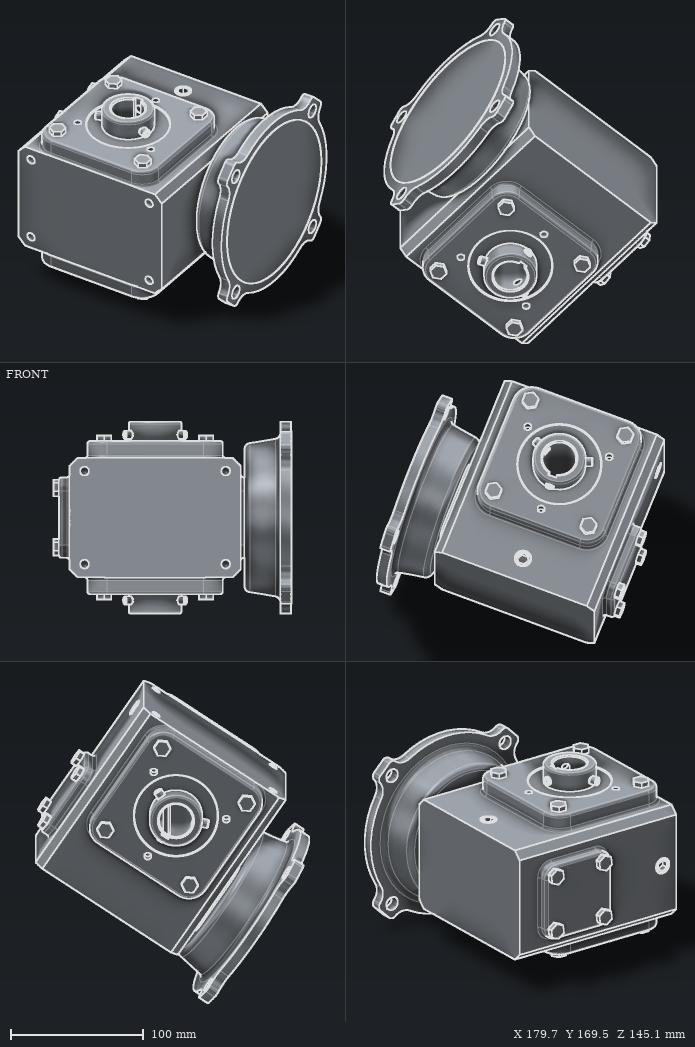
import cadquery as cq
import math


HOUSING_X = 129.3
HOUSING_Z = 90.2
HOUSING_FRONT = -52.5
HOUSING_BACK = 93.5
HOUSING_CHAMFER = 6.1
SIDE_X = HOUSING_X / 2
TOP_Z = HOUSING_Z / 2
INPUT_Y = 44.4

COVER_SIZE = 102.2
COVER_HEIGHT = 12.8
COVER_CORNER = 14.7
COVER_EDGE_FILLET = 2.0
COVER_TOP_Z = TOP_Z + COVER_HEIGHT
COVER_BOLT_PITCH = 76.9
COVER_HOLE_RADIUS = 38.0
COVER_HOLE_DIAMETER = 5.4
COVER_HOLE_DEPTH = 9.0
COVER_HOLE_ANGLES = (90, 210, 330)
SEAL_RADIUS = 32.0
SEAL_RECESS = 0.7
SEAL_TAPER = 40

SIDE_COVER_SIZE = 60.9
SIDE_COVER_HEIGHT = 7.9
SIDE_COVER_CORNER = 10.0
SIDE_COVER_EDGE_FILLET = 2.0
SIDE_BOLT_PITCH = 44.7
SIDE_BOLT_TURN = 7
BASE_FILLET = 2.2

BOLT_FLATS = 11.0
BOLT_HEAD_HEIGHT = 4.1

HUB_RADIUS = 20.0
HUB_LENGTH = 145.0
HUB_END_Z = HUB_LENGTH / 2
HUB_FILLET = 1.6
BORE_RADIUS = 12.8
BORE_CHAMFER = 1.0
KEYWAY_WIDTH = 6.3
KEYWAY_TOP = 15.3

SCREW_PLACES = ((90, 22.0), (-22, 25.1), (202, 25.1))
SCREW_RADIUS = 3.2
SCREW_LENGTH = 6.3
SCREW_CHAMFER = 0.7
SCREW_SOCKET_FLATS = 3.2
SCREW_SOCKET_DEPTH = 2.7
SCREW_Z = 62.5

FOOT_PITCH_X = 106.5
FOOT_PITCH_Z = 70.2
FOOT_DIAMETER = 6.6
FOOT_DEPTH = 12.5
DRILL_TIP_ANGLE = 118

PLUG_RADIUS = 6.3
PLUG_GROOVE = 0.7
PLUG_SOCKET_FLATS = 7.9
PLUG_SOCKET_DEPTH = 5.4
TOP_PLUG_Y = 75.8
SIDE_PLUG_Y = -39.7

BELL_X = 67.4
FLANGE_X = 94.5
FLANGE_REAR_X = 102.5
RIM_X = 103.0
BELL_FACE_RADIUS = 55.7
BELL_REAR_RADIUS = 60.2
NOSE_FILLET = 4.7
THROAT_FILLET = 4.7
RIM_RADIUS = 65.0
FLANGE_DIAMETER = 145.1
FLANGE_RADIUS = FLANGE_DIAMETER / 2

EAR_REACH = 84.2
EAR_WIDTH = 20.1
EAR_CORNER = 4.3
EAR_BLEND = 11.9
EAR_HOLE_RADIUS = 74.5
EAR_HOLE_DIAMETER = 10.6
EAR_ANGLES = (45, 135, 225, 315)


def square(pitch):
    """Corner points of a centred square."""
    half = pitch / 2
    return [(-half, -half), (-half, half), (half, -half), (half, half)]


def hexagon(flats, height, turn=90):
    """Hexagonal prism along Z; a corner points along X, then turns about Z by the given degrees."""
    diameter = flats / math.cos(math.pi / 6)
    prism = cq.Workplane("XY").polygon(6, diameter).extrude(height)
    return prism.rotate((0, 0, 0), (0, 0, 1), turn)


def drilled_hole(diameter, depth):
    """Cutter for a blind hole from the origin along +Z, with a conical bottom."""
    radius = diameter / 2
    tip = radius / math.tan(math.radians(DRILL_TIP_ANGLE / 2))
    outline = [(0, 0), (radius, 0), (radius, depth), (0, depth + tip)]
    return cq.Workplane("XZ").polyline(outline).close().revolve(360, (0, 0), (0, 1))


def chamfer_groove(radius, size):
    """Cutter for a V groove in the XY plane, sloped on the outside, upright on the inside."""
    outline = [(radius, 0), (radius - size, 0), (radius - size, -size)]
    return cq.Workplane("XZ").polyline(outline).close().revolve(360, (0, 0), (0, 1))


def rounded_plate(size, corner, height):
    """Square plate standing on the XY plane with a concave fillet around its foot."""
    body = cq.Workplane("XY").rect(size, size).extrude(height).edges("|Z").fillet(corner)
    slab_size = size + 4 * BASE_FILLET
    slab = cq.Workplane("XY").rect(slab_size, slab_size).extrude(-BASE_FILLET)
    reach = size / 2 + BASE_FILLET
    rise = BASE_FILLET / 2
    foot = cq.selectors.BoxSelector((-reach, -reach, -rise), (reach, reach, rise))
    plate = slab.union(body).edges(foot).fillet(BASE_FILLET)
    return plate.cut(slab)


def make_housing_block():
    depth = HOUSING_BACK - HOUSING_FRONT
    block = (
        cq.Workplane("XY")
        .box(HOUSING_X, depth, HOUSING_Z)
        .edges("|Y")
        .chamfer(HOUSING_CHAMFER)
        .translate((0, (HOUSING_BACK + HOUSING_FRONT) / 2, 0))
    )
    hole = drilled_hole(FOOT_DIAMETER, FOOT_DEPTH).rotate((0, 0, 0), (1, 0, 0), -90)
    for x in (-FOOT_PITCH_X / 2, FOOT_PITCH_X / 2):
        for z in (-FOOT_PITCH_Z / 2, FOOT_PITCH_Z / 2):
            block = block.cut(hole.translate((x, HOUSING_FRONT, z)))
    return block


def cut_oil_plugs(block):
    """Groove around each oil plug and its hexagon socket, on the top and -X faces."""
    socket = hexagon(PLUG_SOCKET_FLATS, -PLUG_SOCKET_DEPTH, 0)
    plug = chamfer_groove(PLUG_RADIUS, PLUG_GROOVE).union(socket)
    top = plug.translate((0, TOP_PLUG_Y, TOP_Z))
    side = plug.rotate((0, 0, 0), (0, 1, 0), -90).translate((-SIDE_X, SIDE_PLUG_Y, 0))
    return block.cut(top).cut(side)


def make_output_cover():
    """Cover with bolt heads for the top face, before the shaft is added."""
    cover = rounded_plate(COVER_SIZE, COVER_CORNER, COVER_HEIGHT)
    cover = cover.faces(">Z").edges().fillet(COVER_EDGE_FILLET)
    cover = cover.translate((0, 0, TOP_Z))
    trim = cq.Workplane("XY").box(2 * HOUSING_X, 2 * HOUSING_X, HUB_LENGTH)
    cover = cover.intersect(trim.translate((0, HOUSING_FRONT + HOUSING_X, 0)))

    hole = drilled_hole(COVER_HOLE_DIAMETER, COVER_HOLE_DEPTH).rotate((0, 0, 0), (1, 0, 0), 180)
    for angle in COVER_HOLE_ANGLES:
        place = hole.translate((COVER_HOLE_RADIUS, 0, COVER_TOP_Z))
        cover = cover.cut(place.rotate((0, 0, 0), (0, 0, 1), angle))
    recess = cq.Workplane("XY").circle(SEAL_RADIUS).extrude(-SEAL_RECESS, taper=SEAL_TAPER)
    cover = cover.cut(recess.translate((0, 0, COVER_TOP_Z)))

    head = hexagon(BOLT_FLATS, BOLT_HEAD_HEIGHT)
    for x, y in square(COVER_BOLT_PITCH):
        cover = cover.union(head.translate((x, y, COVER_TOP_Z)))
    return cover


def make_side_cover():
    """Input cover with bolt heads on the -X side."""
    cover = rounded_plate(SIDE_COVER_SIZE, SIDE_COVER_CORNER, SIDE_COVER_HEIGHT)
    cover = cover.faces(">Z").edges().fillet(SIDE_COVER_EDGE_FILLET)
    head = hexagon(BOLT_FLATS, BOLT_HEAD_HEIGHT, SIDE_BOLT_TURN)
    for x, y in square(SIDE_BOLT_PITCH):
        cover = cover.union(head.translate((x, y, SIDE_COVER_HEIGHT)))
    return cover.rotate((0, 0, 0), (0, 1, 0), -90).translate((-SIDE_X, INPUT_Y, 0))


def make_input_pad():
    """Pad on the +X side that carries the motor flange."""
    pad = rounded_plate(SIDE_COVER_SIZE, SIDE_COVER_CORNER, BELL_X - SIDE_X)
    return pad.rotate((0, 0, 0), (0, 1, 0), 90).translate((SIDE_X, INPUT_Y, 0))


def make_flange_bell():
    """Turned bell, flange disc and rear rim of the motor flange, about the X axis."""
    outline = [
        (BELL_X, 0),
        (BELL_X, BELL_FACE_RADIUS),
        (FLANGE_X, BELL_REAR_RADIUS),
        (FLANGE_X, FLANGE_RADIUS),
        (FLANGE_REAR_X, FLANGE_RADIUS),
        (FLANGE_REAR_X, RIM_RADIUS),
        (RIM_X, RIM_RADIUS),
        (RIM_X, 0),
    ]
    bell = cq.Workplane("XY").polyline(outline).close().revolve(360, (0, 0), (1, 0))
    bell = bell.faces("<X").edges().fillet(NOSE_FILLET)
    reach = FLANGE_RADIUS
    near_x = FLANGE_X - NOSE_FILLET
    far_x = (FLANGE_X + FLANGE_REAR_X) / 2
    front_plane = cq.selectors.BoxSelector((near_x, -reach, -reach), (far_x, reach, reach))
    front_circles = bell.edges("%CIRCLE").edges(front_plane)
    return front_circles.edges(cq.selectors.RadiusNthSelector(0)).fillet(THROAT_FILLET)


def make_flange_plate():
    """Round plate with four rounded ears."""
    thickness = FLANGE_REAR_X - FLANGE_X
    plate = cq.Workplane("XY").circle(FLANGE_RADIUS).extrude(thickness)
    ear = (
        cq.Workplane("XY")
        .rect(EAR_REACH, EAR_WIDTH)
        .extrude(thickness)
        .translate((EAR_REACH / 2, 0, 0))
        .edges("|Z and >X")
        .fillet(EAR_CORNER)
    )
    for angle in EAR_ANGLES:
        plate = plate.union(ear.rotate((0, 0, 0), (0, 0, 1), angle))

    root_x = math.sqrt(FLANGE_RADIUS ** 2 - (EAR_WIDTH / 2) ** 2)
    root_angle = math.degrees(math.atan2(EAR_WIDTH / 2, root_x))
    for angle in EAR_ANGLES:
        for side in (-root_angle, root_angle):
            turn = math.radians(angle + side)
            root = (FLANGE_RADIUS * math.cos(turn), FLANGE_RADIUS * math.sin(turn), thickness / 2)
            plate = plate.edges(cq.selectors.NearestToPointSelector(root)).fillet(EAR_BLEND)

    return plate.rotate((0, 0, 0), (0, 1, 0), 90).translate((FLANGE_X, 0, 0))


def make_motor_flange():
    """Bell and eared plate with a bolt hole through each ear, on the input axis."""
    holes = (
        cq.Workplane("YZ", origin=(FLANGE_X, 0, 0))
        .polarArray(EAR_HOLE_RADIUS, EAR_ANGLES[0], 360, len(EAR_ANGLES))
        .circle(EAR_HOLE_DIAMETER / 2)
        .extrude(FLANGE_REAR_X - FLANGE_X)
    )
    return make_flange_bell().union(make_flange_plate()).cut(holes).translate((0, INPUT_Y, 0))


def make_shaft():
    return (
        cq.Workplane("XY")
        .circle(HUB_RADIUS)
        .extrude(HUB_LENGTH)
        .translate((0, 0, -HUB_END_Z))
        .edges()
        .fillet(HUB_FILLET)
    )


def make_bore_cutter():
    """Through bore with chamfered ends and a keyway on the +Y side."""
    mouth = BORE_RADIUS + BORE_CHAMFER
    inner_z = HUB_END_Z - BORE_CHAMFER
    outline = [
        (0, -HUB_END_Z),
        (mouth, -HUB_END_Z),
        (BORE_RADIUS, -inner_z),
        (BORE_RADIUS, inner_z),
        (mouth, HUB_END_Z),
        (0, HUB_END_Z),
    ]
    bore = cq.Workplane("XZ").polyline(outline).close().revolve(360, (0, 0), (0, 1))
    keyway = cq.Workplane("XY").box(KEYWAY_WIDTH, KEYWAY_TOP, HUB_LENGTH)
    return bore.union(keyway.translate((0, KEYWAY_TOP / 2, 0)))


def place_screw_feature(shape, angle, z):
    """Move a shape built along +Z from the origin to point outwards at an angle and height."""
    return shape.rotate((0, 0, 0), (0, 1, 0), 90).rotate((0, 0, 0), (0, 0, 1), angle).translate((0, 0, z))


def make_screw_hole(angle, outer_radius, z):
    """Cutter for a screw hole from the shaft bore out to the screw's outer end."""
    hole = cq.Workplane("XY").circle(SCREW_RADIUS).extrude(outer_radius)
    return place_screw_feature(hole, angle, z)


def make_set_screw(angle, outer_radius, z):
    """Cylindrical set screw with a chamfered, socketed outer end."""
    screw = cq.Workplane("XY").circle(SCREW_RADIUS).extrude(SCREW_LENGTH)
    screw = screw.faces(">Z").edges().chamfer(SCREW_CHAMFER)
    socket = hexagon(SCREW_SOCKET_FLATS, -SCREW_SOCKET_DEPTH)
    screw = screw.cut(socket.translate((0, 0, SCREW_LENGTH)))
    return place_screw_feature(screw.translate((0, 0, outer_radius - SCREW_LENGTH)), angle, z)


def make_gearbox():
    gearbox = cut_oil_plugs(make_housing_block())
    cover = make_output_cover()
    gearbox = gearbox.union(cover).union(cover.mirror("XY"))
    gearbox = gearbox.union(make_side_cover())
    gearbox = gearbox.union(make_input_pad()).union(make_motor_flange())
    gearbox = gearbox.union(make_shaft()).cut(make_bore_cutter())
    for z in (-SCREW_Z, SCREW_Z):
        for angle, outer_radius in SCREW_PLACES:
            gearbox = gearbox.cut(make_screw_hole(angle, outer_radius, z))
    return gearbox


gearbox = make_gearbox()
set_screws = []
for z in (-SCREW_Z, SCREW_Z):
    for angle, outer_radius in SCREW_PLACES:
        set_screws.append(make_set_screw(angle, outer_radius, z).val())

result = cq.Compound.makeCompound([gearbox.val(), *set_screws])